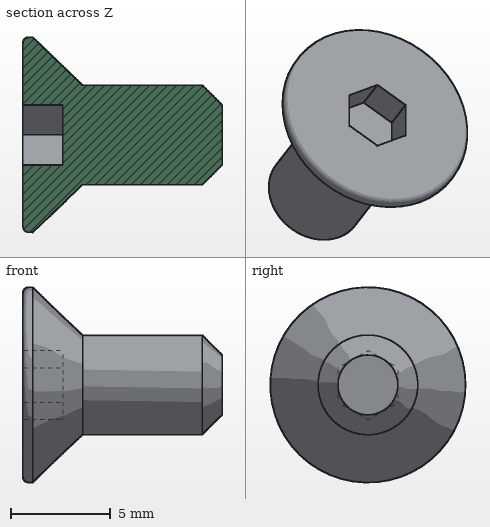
import cadquery as cq
import math

total_length = 10.0
head_diameter = 9.8
head_height = 3.0
rim_height = 0.5
rim_fillet = 0.3
shank_diameter = 5.0
tip_chamfer = 1.0
socket_across_flats = 3.0
socket_depth = 2.0

head_radius = head_diameter / 2
shank_radius = shank_diameter / 2


def make_body():
    """Revolve the half profile of the screw about the X axis."""
    fillet_sag = rim_fillet * (1 - math.sqrt(0.5))
    return (
        cq.Workplane("XY")
        .lineTo(0, head_radius - rim_fillet)
        .threePointArc((fillet_sag, head_radius - fillet_sag), (rim_fillet, head_radius))
        .lineTo(rim_height, head_radius)
        .lineTo(head_height, shank_radius)
        .lineTo(total_length - tip_chamfer, shank_radius)
        .lineTo(total_length, shank_radius - tip_chamfer)
        .lineTo(total_length, 0)
        .close()
        .revolve(360, (0, 0, 0), (1, 0, 0))
    )


def make_socket():
    """Hexagonal prism sunk into the head face, with two corners on the Z axis."""
    across_corners = socket_across_flats / math.cos(math.radians(30))
    return (
        cq.Workplane("YZ")
        .transformed(rotate=(0, 0, 90))
        .polygon(6, across_corners)
        .extrude(socket_depth)
    )


result = make_body().cut(make_socket())